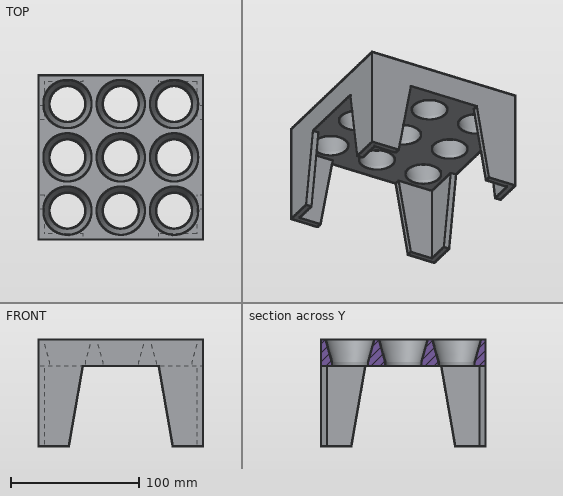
import cadquery as cq

side = 128.5
height = 83.4
wall = 4.9
plate = 20.8

opening_top_width = 59.1
opening_foot_width = 80.9

holes_per_side = 3
hole_pitch = 41.6
hole_top_diameter = 37.8
hole_bottom_diameter = 27.9
hole_straight_depth = 3.1

plate_bottom = height - plate


def leg_opening(plane):
    """Trapezoid passing through the whole part, between the legs."""
    return (
        cq.Workplane(plane)
        .polyline([
            (-opening_foot_width / 2, 0),
            (opening_foot_width / 2, 0),
            (opening_top_width / 2, plate_bottom),
            (-opening_top_width / 2, plate_bottom),
        ])
        .close()
        .extrude(side / 2, both=True)
    )


def tapered_holes():
    """Grid of through holes: a cone narrowing downward into a short cylinder."""
    hole = (
        cq.Workplane("XZ")
        .polyline([
            (0, plate_bottom),
            (hole_bottom_diameter / 2, plate_bottom),
            (hole_bottom_diameter / 2, plate_bottom + hole_straight_depth),
            (hole_top_diameter / 2, height),
            (0, height),
        ])
        .close()
        .revolve(360, (0, 0), (0, 1))
        .val()
    )
    return (
        cq.Workplane("XY")
        .rarray(hole_pitch, hole_pitch, holes_per_side, holes_per_side)
        .eachpoint(lambda place: hole.moved(place))
    )


cavity_side = side - 2 * wall
block = cq.Workplane("XY").box(side, side, height, centered=(True, True, False))
cavity = cq.Workplane("XY").box(cavity_side, cavity_side, plate_bottom, centered=(True, True, False))

result = (
    block
    .cut(cavity)
    .cut(leg_opening("XZ"))
    .cut(leg_opening("YZ"))
    .cut(tapered_holes())
)